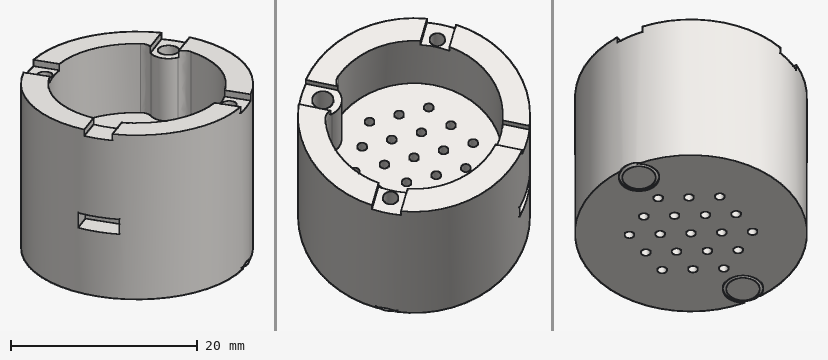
import cadquery as cq
import math

body_diameter = 24.89
body_height = 19.68

cavity_diameter = 19.05
cavity_depth = 8.255
floor_z = body_height - cavity_depth

post_radius = 2.03
post_y = 10.06
post_fillet = 1.27
post_hole_diameter = 2.29
post_hole_depth = cavity_depth

rim_slot_width = 3.2
rim_slot_depth = 0.762

socket_x = 10.47
socket_diameter = 1.65
tip_diameter = 0.95
tip_height = 0.35
socket_depth = 6.0

contact_diameter = 1.04
contact_pitch = 3.3
contact_rows = (3, 4, 5, 4, 3)
row_pitch = contact_pitch * math.sqrt(3) / 2

window_width = 4.7
window_height = 1.78
window_bottom_z = 7.75
window_depth = 2.54

overall_width = 25.27
lip_radius = overall_width / 2 - socket_x
lip_edge_z = 0.2
lip_height = 0.4
lip_top_radius = lip_radius - (lip_height - lip_edge_z)
lip_bottom_radius = 1.79


def make_body():
    return cq.Workplane("XY").circle(body_diameter / 2).extrude(body_height)


def make_cavity():
    post = (
        cq.Workplane("XY", origin=(0, post_y, floor_z))
        .circle(post_radius)
        .extrude(cavity_depth)
    )
    cavity = (
        cq.Workplane("XY", origin=(0, 0, floor_z))
        .circle(cavity_diameter / 2)
        .extrude(cavity_depth)
        .cut(post)
    )
    return cavity.edges("|Z and >Y").fillet(post_fillet)


def make_rim_slots():
    def bar(length_x, length_y):
        return (
            cq.Workplane("XY", origin=(0, 0, body_height - rim_slot_depth))
            .rect(length_x, length_y)
            .extrude(rim_slot_depth)
        )

    return bar(body_diameter, rim_slot_width).union(bar(rim_slot_width, body_diameter))


def make_post_hole():
    top_z = body_height - rim_slot_depth
    return (
        cq.Workplane("XY", origin=(0, post_y, top_z))
        .circle(post_hole_diameter / 2)
        .extrude(-post_hole_depth)
    )


def make_socket(x):
    top_z = body_height - rim_slot_depth
    bottom_z = top_z - socket_depth
    tip = (
        cq.Workplane("XY", origin=(x, 0, bottom_z))
        .circle(socket_diameter / 2)
        .workplane(offset=tip_height)
        .circle(tip_diameter / 2)
        .loft()
    )
    return (
        cq.Workplane("XY", origin=(x, 0, bottom_z))
        .circle(socket_diameter / 2)
        .extrude(socket_depth)
        .cut(tip)
    )


def make_contact_holes():
    middle_row = (len(contact_rows) - 1) / 2
    centers = []
    for row, count in enumerate(contact_rows):
        y = (row - middle_row) * row_pitch
        for column in range(count):
            x = (column - (count - 1) / 2) * contact_pitch
            centers.append((x, y))
    return cq.Workplane("XY").pushPoints(centers).circle(contact_diameter / 2).extrude(floor_z)


def make_window():
    return (
        cq.Workplane("XY")
        .box(window_width, window_depth, window_height, centered=(True, False, False))
        .translate((0, -body_diameter / 2, window_bottom_z))
    )


def make_foot_recess(x):
    return cq.Workplane("XY", origin=(x, 0, 0)).circle(lip_radius).extrude(lip_edge_z)


def make_foot_lip(x):
    return (
        cq.Workplane("XZ")
        .lineTo(lip_bottom_radius, 0)
        .lineTo(lip_radius, lip_edge_z)
        .lineTo(lip_top_radius, lip_height)
        .lineTo(0, lip_height)
        .close()
        .revolve(360, (0, 0, 0), (0, 1, 0))
        .translate((x, 0, 0))
    )


result = make_body().cut(make_cavity()).cut(make_rim_slots()).cut(make_post_hole())
result = result.cut(make_contact_holes()).cut(make_window())
for x in (-socket_x, socket_x):
    result = result.cut(make_socket(x)).cut(make_foot_recess(x)).union(make_foot_lip(x))